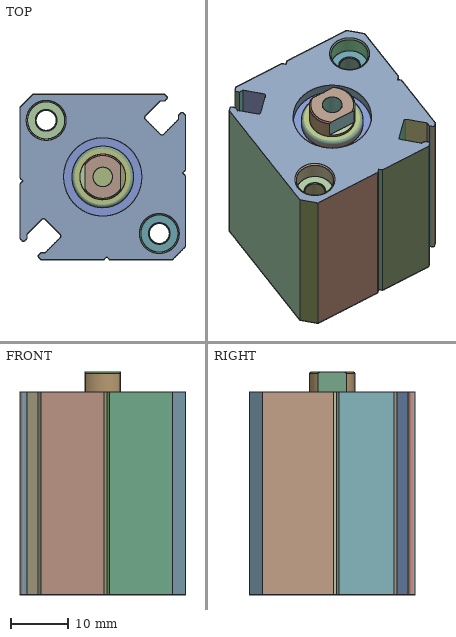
import cadquery as cq
import math

width = 29.0
half = width / 2
body_height = 35.5
corner_chamfer = 2.3

slot_width = 4.5
slot_wall_offset = slot_width / math.sqrt(2)
slot_floor_sum = 11.45
slot_floor_fillet = 0.4
lip_thickness = 1.25
lip_tip = 3.2
lip_chamfer = 0.33
lip_crown = 0.16

groove_offset = 0.7
groove_depth = 0.5

mount_offset = 9.9
mount_diameter = 3.5
mount_chamfer = 0.15
counterbore_diameter = 6.5
counterbore_depth = 3.5
counterbore_chamfer = 0.25

recess_diameter = 13.7
recess_depth = 2.0
collar_diameter = 10.8
collar_drop = 0.5
collar_fillet = 0.5

rod_diameter = 8.0
rod_projection = 3.5
rod_engagement = 10.0
rod_flats = 6.2
rod_chamfer = 0.25
thread_hole_diameter = 3.4
thread_hole_depth = 8.0


def sensor_slot():
    """Channel at the (-X, -Y) corner, through the full height."""
    floor_low = (slot_floor_sum - slot_wall_offset) / 2
    floor_high = floor_low + slot_wall_offset
    lip_end = lip_thickness + slot_wall_offset
    crown_low = lip_chamfer
    crown_middle = lip_thickness / 2
    crown_high = lip_thickness - lip_chamfer
    crown_start = lip_tip + lip_crown
    lip_start = crown_start + lip_chamfer
    channel = (
        cq.Workplane("XY")
        .moveTo(0, 0)
        .lineTo(lip_start, 0)
        .lineTo(crown_start, crown_low)
        .threePointArc((lip_tip, crown_middle), (crown_start, crown_high))
        .lineTo(lip_start, lip_thickness)
        .lineTo(lip_end, lip_thickness)
        .lineTo(floor_high, floor_low)
        .lineTo(floor_low, floor_high)
        .lineTo(lip_thickness, lip_end)
        .lineTo(lip_thickness, lip_start)
        .lineTo(crown_high, crown_start)
        .threePointArc((crown_middle, lip_tip), (crown_low, crown_start))
        .lineTo(0, lip_start)
        .close()
        .extrude(body_height)
    )
    floor_edges = cq.selectors.BoxSelector(
        (floor_low - slot_floor_fillet, floor_low - slot_floor_fillet, 0),
        (floor_high + slot_floor_fillet, floor_high + slot_floor_fillet, body_height),
    )
    channel = channel.edges("|Z").edges(floor_edges).fillet(slot_floor_fillet)
    return channel.translate((-half, -half, 0))


def v_groove():
    """Groove in the -Y face, through the full height."""
    return (
        cq.Workplane("XY")
        .moveTo(groove_offset - groove_depth, -half)
        .lineTo(groove_offset + groove_depth, -half)
        .lineTo(groove_offset, -half + groove_depth)
        .close()
        .extrude(body_height)
    )


def mounting_hole():
    """Chamfered through hole with a chamfered counterbore at the top."""
    mount_radius = mount_diameter / 2
    bore_radius = counterbore_diameter / 2
    seat = body_height - counterbore_depth
    return (
        cq.Workplane("XZ")
        .moveTo(0, 0)
        .lineTo(mount_radius, 0)
        .lineTo(mount_radius, seat - mount_chamfer)
        .lineTo(mount_radius + mount_chamfer, seat)
        .lineTo(bore_radius, seat)
        .lineTo(bore_radius, body_height - counterbore_chamfer)
        .lineTo(bore_radius + counterbore_chamfer, body_height)
        .lineTo(0, body_height)
        .close()
        .revolve(360, (0, 0, 0), (0, 1, 0))
    )


def rod_recess():
    """Ring-shaped space between the recess wall and the guide collar."""
    pocket = (
        cq.Workplane("XY")
        .workplane(offset=body_height - recess_depth)
        .circle(recess_diameter / 2)
        .extrude(recess_depth)
    )
    collar = (
        cq.Workplane("XY")
        .workplane(offset=body_height - recess_depth)
        .circle(collar_diameter / 2)
        .extrude(recess_depth - collar_drop)
        .faces(">Z")
        .edges()
        .fillet(collar_fillet)
    )
    return pocket.cut(collar)


def rod_blank():
    """Plain cylinder of the rod, which is also the shape of its bore."""
    return (
        cq.Workplane("XY")
        .workplane(offset=body_height - rod_engagement)
        .circle(rod_diameter / 2)
        .extrude(rod_engagement + rod_projection)
    )


def make_housing():
    block = cq.Workplane("XY").rect(width, width).extrude(body_height)
    chamfered_corners = block.edges("|Z").edges("(<X and >Y) or (>X and <Y)")
    block = chamfered_corners.chamfer(corner_chamfer)
    for angle in (0, 180):
        block = block.cut(sensor_slot().rotate((0, 0, 0), (0, 0, 1), angle))
    for quarter_turns in (0, 1, 3):
        block = block.cut(v_groove().rotate((0, 0, 0), (0, 0, 1), 90 * quarter_turns))
    for side in (-1, 1):
        block = block.cut(mounting_hole().translate((side * mount_offset, -side * mount_offset, 0)))
    return block.cut(rod_recess()).cut(rod_blank())


def make_rod():
    rod = rod_blank().faces(">Z").edges().chamfer(rod_chamfer)
    for side in (-1, 1):
        flat_cut = cq.Workplane("XY").box(
            rod_diameter, 2 * rod_diameter, rod_projection, centered=(True, True, False)
        )
        rod = rod.cut(flat_cut.translate((side * (rod_flats + rod_diameter) / 2, 0, body_height)))
    return rod.faces(">Z").workplane(origin=(0, 0, 0)).hole(thread_hole_diameter, thread_hole_depth)


housing = make_housing()
rod = make_rod()

result = cq.Compound.makeCompound([housing.val(), rod.val()])